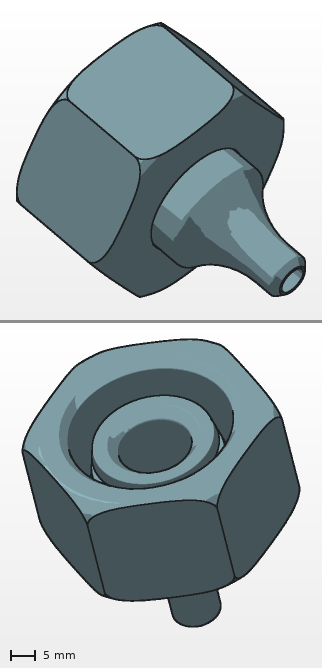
import cadquery as cq
import math

total_length = 55.0

nut_length = 27.0
across_flats = 46.0
end_face_diameter = 45.0
thread_bore_diameter = 33.85
thread_bore_depth = 20.35
thread_mouth_chamfer = 1.6
thread_mouth_round = 0.3
nut_hole_diameter = 25.25

nipple_front = 4.6
front_diameter = 24.9
front_edge_round = 0.3
cone_half_angle = math.radians(12)
collar_diameter = 30.0

groove_start_diameter = 26.1
groove_width = 2.9
groove_depth = 2.2

neck_diameter = 24.9
neck_edge_round = 1.0
neck_curve_radius = 20.0
neck_curve_end = 49.0
tip_diameter = 10.0
tip_chamfer = 1.5
tip_edge_round = 0.5

wide_bore_diameter = 15.0
wide_bore_depth = 24.75
bore_mouth_chamfer = 2.05
bore_mouth_round = 0.5
narrow_bore_diameter = 6.0
bore_cone_half_angle = math.radians(67)

thread_bore_radius = thread_bore_diameter / 2
nut_hole_radius = nut_hole_diameter / 2
collar_radius = collar_diameter / 2
neck_radius = neck_diameter / 2
tip_radius = tip_diameter / 2
wide_bore_radius = wide_bore_diameter / 2
narrow_bore_radius = narrow_bore_diameter / 2
tip_chamfer_start = total_length - tip_chamfer
seat_start = thread_bore_depth


def revolve_profile(points):
    """Turn a closed outline of (x, radius) points about the X axis."""
    return cq.Workplane("XY").polyline(points).close().revolve(360, (0, 0, 0), (1, 0, 0))


def round_circle(body, x, radius, size):
    """Fillet the circular edge that has the given place along X and the given radius."""
    tolerance = 0.005
    edges = [
        edge
        for edge in body.edges("%CIRCLE").vals()
        if abs(edge.Center().x - x) < tolerance and abs(edge.radius() - radius) < tolerance
    ]
    return body.newObject(edges).fillet(size)


def cone_position(diameter):
    """X at which the sealing cone reaches the given diameter."""
    return nipple_front + (diameter - front_diameter) / 2 / math.tan(cone_half_angle)


def make_nut_blank():
    """Hexagon whose corners are rounded down to a flat circle at both ends."""
    corner_radius = across_flats / 2 / math.cos(math.radians(30))
    corner_round = corner_radius - end_face_diameter / 2
    hexagon = cq.Workplane("YZ").polygon(6, 2 * corner_radius).extrude(nut_length)
    envelope = cq.Workplane("YZ").circle(corner_radius).extrude(nut_length)
    envelope = envelope.edges("%CIRCLE").fillet(corner_round)
    return hexagon.intersect(envelope)


def make_nut():
    """Nut with a threaded bore, a 45 degree seat for the collar and a clearance hole."""
    mouth_radius = thread_bore_radius + thread_mouth_chamfer
    seat_end = seat_start + collar_radius - nut_hole_radius
    bore = revolve_profile([
        (0, 0),
        (0, mouth_radius),
        (thread_mouth_chamfer, thread_bore_radius),
        (thread_bore_depth, thread_bore_radius),
        (seat_start, collar_radius),
        (seat_end, nut_hole_radius),
        (nut_length, nut_hole_radius),
        (nut_length, 0),
    ])
    body = make_nut_blank().cut(bore)
    body = round_circle(body, 0, mouth_radius, thread_mouth_round)
    return round_circle(body, thread_mouth_chamfer, thread_bore_radius, thread_mouth_round)


def make_nipple_outside():
    """Sealing cone, collar, straight neck, concave curve and chamfered weld tip."""
    curve_centre_radius = tip_radius + neck_curve_radius
    curve_angle = math.acos((curve_centre_radius - neck_radius) / neck_curve_radius)

    def curve_point(angle):
        x = neck_curve_end - neck_curve_radius * math.sin(angle)
        return x, curve_centre_radius - neck_curve_radius * math.cos(angle)

    curve_start = curve_point(curve_angle)
    body = (
        cq.Workplane("XY")
        .moveTo(nipple_front, 0)
        .lineTo(nipple_front, front_diameter / 2)
        .lineTo(cone_position(collar_diameter), collar_radius)
        .lineTo(seat_start, collar_radius)
        .lineTo(seat_start + collar_radius - neck_radius, neck_radius)
        .lineTo(*curve_start)
        .threePointArc(curve_point(curve_angle / 2), (neck_curve_end, tip_radius))
        .lineTo(tip_chamfer_start, tip_radius)
        .lineTo(total_length, tip_radius - tip_chamfer)
        .lineTo(total_length, 0)
        .close()
        .revolve(360, (0, 0, 0), (1, 0, 0))
    )
    body = round_circle(body, nipple_front, front_diameter / 2, front_edge_round)
    body = round_circle(body, curve_start[0], neck_radius, neck_edge_round)
    return round_circle(body, tip_chamfer_start, tip_radius, tip_edge_round)


def make_seal_groove():
    """Ring of material removed from the sealing cone."""
    floor_radius = groove_start_diameter / 2 - groove_depth
    return (
        cq.Workplane("YZ", origin=(cone_position(groove_start_diameter), 0, 0))
        .circle(collar_radius)
        .circle(floor_radius)
        .extrude(groove_width)
    )


def make_nipple():
    """Nipple with its seal groove and a bore that narrows towards the weld tip."""
    mouth_radius = wide_bore_radius + bore_mouth_chamfer
    mouth_end = nipple_front + bore_mouth_chamfer
    wide_bore_end = nipple_front + wide_bore_depth
    bore_cone_length = (wide_bore_radius - narrow_bore_radius) / math.tan(bore_cone_half_angle)
    bore = revolve_profile([
        (nipple_front, 0),
        (nipple_front, mouth_radius),
        (mouth_end, wide_bore_radius),
        (wide_bore_end, wide_bore_radius),
        (wide_bore_end + bore_cone_length, narrow_bore_radius),
        (total_length, narrow_bore_radius),
        (total_length, 0),
    ])
    body = make_nipple_outside().cut(make_seal_groove()).cut(bore)
    body = round_circle(body, nipple_front, mouth_radius, bore_mouth_round)
    return round_circle(body, mouth_end, wide_bore_radius, bore_mouth_round)


nut = make_nut()
nipple = make_nipple()

result = cq.Compound.makeCompound([nut.solids().val(), nipple.solids().val()])